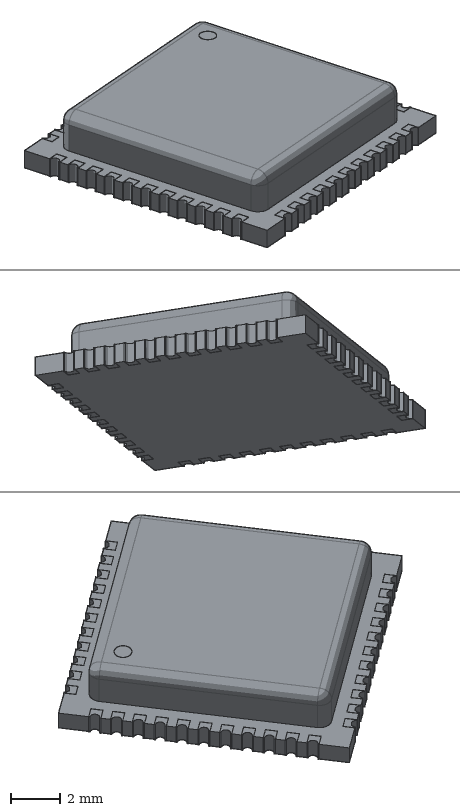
import cadquery as cq

board_side = 12.0
board_thickness = 0.8

pads_per_side = 11
pad_pitch = 0.9
pad_width = 0.5
pad_length = 0.5
pad_proud = 0.01
notch_radius = 0.2

can_side = 10.0
can_height = 1.7
can_radius = 0.5

mark_radius = 0.36
mark_height = 0.01
mark_offset_x = 3.72
mark_offset_y = 3.75

pad_height = board_thickness + 2 * pad_proud
pad_outer = board_side / 2 + pad_proud
board_bottom = pad_proud
board_top = board_bottom + board_thickness
can_top = board_top + can_height


def block(side_x, side_y, height, bottom):
    """Box centred on the Z axis, standing on the given level."""
    return cq.Workplane("XY").workplane(offset=bottom).rect(side_x, side_y).extrude(height)


def on_all_sides(row):
    """Repeat a row built along the +Y edge on all four edges of the board."""
    rows = row
    for quarter_turn in range(1, 4):
        rows = rows.union(row.rotate((0, 0, 0), (0, 0, 1), 90 * quarter_turn))
    return rows


def pad_row_points(y):
    """Pad positions along the +Y edge."""
    first = -pad_pitch * (pads_per_side - 1) / 2
    return [(first + i * pad_pitch, y) for i in range(pads_per_side)]


def make_pads():
    """Rectangular pads wrapping the board edge from bottom to top."""
    centres = pad_row_points(pad_outer - pad_length / 2)
    row = cq.Workplane("XY").pushPoints(centres).rect(pad_width, pad_length).extrude(pad_height)
    return on_all_sides(row)


def make_notches():
    """Half-round castellation cutters, centred on the outer pad faces."""
    centres = pad_row_points(pad_outer)
    row = cq.Workplane("XY").pushPoints(centres).circle(notch_radius).extrude(pad_height)
    return on_all_sides(row)


def make_can():
    """Shield can with rounded upright corners and a rounded top rim."""
    can = block(can_side, can_side, can_height, board_top)
    return can.edges("|Z").fillet(can_radius).faces(">Z").edges().fillet(can_radius)


def make_mark():
    """Thin round pin 1 mark."""
    plane = cq.Workplane("XY").workplane(offset=can_top)
    return plane.center(-mark_offset_x, mark_offset_y).circle(mark_radius).extrude(mark_height)


board = block(board_side, board_side, board_thickness, board_bottom)
castellated_board = board.union(make_pads()).cut(make_notches())
result = castellated_board.union(make_can()).union(make_mark())